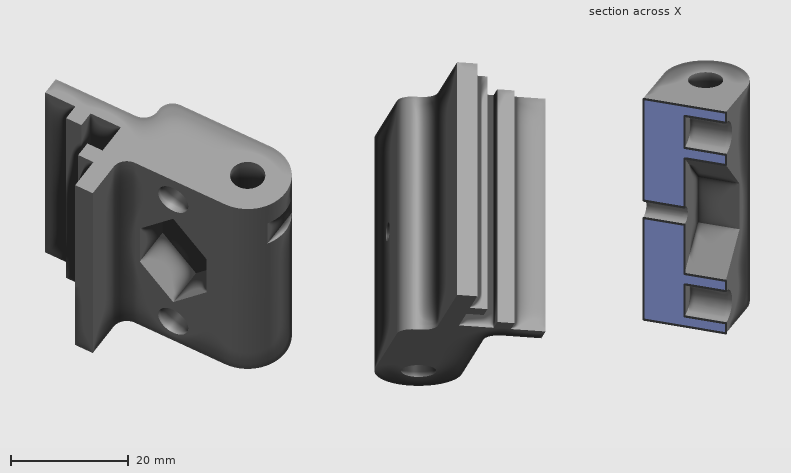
import cadquery as cq

total_length = 46.5
total_width = 24.5
height = 42.0

arm_reach = 15.0
arm_thickness = 3.5
rib_size = 3.0
rib_offset = 6.0

body_width = 15.0
blend_radius = 2.65
pin_diameter = 6.0

blind_hole_diameter = 6.0
blind_hole_spacing = 32.0
screw_diameter = 3.2
pocket_width = 13.25
pocket_height = 21.9
pocket_depth = body_width / 2

notch_depth = 1.15
notch_height = 5.3
notch_top_gap = 4.7

arm_outer = arm_reach + arm_thickness
body_front = total_width - body_width
end_radius = body_width / 2
pin_x = total_length - end_radius
pin_y = total_width - end_radius
feature_x = (arm_outer + pin_x) / 2
middle_z = height / 2


def make_bracket_and_body():
    """Extrude the arms and body, then round the corners where they join."""
    solid = (
        cq.Workplane("XY")
        .moveTo(0, arm_reach)
        .lineTo(arm_reach, arm_reach)
        .lineTo(arm_reach, 0)
        .lineTo(arm_outer, 0)
        .lineTo(arm_outer, body_front)
        .lineTo(pin_x, body_front)
        .threePointArc((total_length, pin_y), (pin_x, total_width))
        .lineTo(arm_outer, total_width)
        .lineTo(arm_outer, arm_outer)
        .lineTo(0, arm_outer)
        .close()
        .extrude(height)
    )
    for corner_y in (body_front, arm_outer, total_width):
        corner = cq.selectors.NearestToPointSelector((arm_outer, corner_y, middle_z))
        solid = solid.edges("|Z").edges(corner).fillet(blend_radius)
    return solid


def make_ribs():
    """One full-height rib on the inner face of each arm."""
    along = rib_offset
    inward = arm_reach - rib_size
    return (
        cq.Workplane("XY")
        .pushPoints([(along, inward), (inward, along)])
        .rect(rib_size, rib_size, centered=False)
        .extrude(height)
    )


def front_face_plane():
    """Plane on the front face, centred on the screw hole; +X and +Z stay in plane."""
    return cq.Workplane("XZ", origin=(feature_x, body_front, middle_z))


def make_pocket():
    """Six-sided pocket with vertical sides and 45 degree ends."""
    half_width = pocket_width / 2
    half_height = pocket_height / 2
    shoulder = half_height - half_width
    return (
        front_face_plane()
        .polyline([
            (0, half_height),
            (half_width, shoulder),
            (half_width, -shoulder),
            (0, -half_height),
            (-half_width, -shoulder),
            (-half_width, shoulder),
        ])
        .close()
        .extrude(-pocket_depth)
    )


def make_blind_holes():
    return (
        front_face_plane()
        .rarray(0.45, blind_hole_spacing, 1, 2)
        .circle(blind_hole_diameter / 2)
        .extrude(-pocket_depth)
    )


def make_screw_hole():
    return front_face_plane().circle(screw_diameter / 2).extrude(-body_width)


def make_pin_hole():
    return cq.Workplane("XY").center(pin_x, pin_y).circle(pin_diameter / 2).extrude(height)


def make_notch():
    """Flat notch cut straight through the rounded end along Y."""
    corner = cq.Vector(
        total_length - notch_depth, body_front, height - notch_top_gap - notch_height
    )
    return cq.Workplane("XY").box(notch_depth, body_width, notch_height, centered=False).translate(corner)


result = (
    make_bracket_and_body()
    .union(make_ribs())
    .cut(make_pocket())
    .cut(make_blind_holes())
    .cut(make_screw_hole())
    .cut(make_pin_hole())
    .cut(make_notch())
)